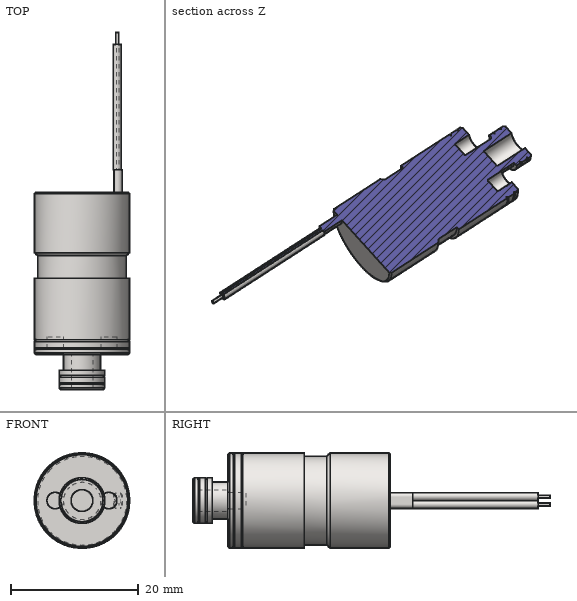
import cadquery as cq

overall_length = 56.2

body_diameter = 15.0
body_radius = body_diameter / 2
body_front = 5.5
body_rear = 31.05
body_chamfer = 0.3
waist_diameter = 14.0
waist_radius = waist_diameter / 2
waist_front = 17.55
waist_rear = 21.05
waist_chamfer = body_radius - waist_radius

neck_radius = 2.9
head_radius = 3.6
head_length = 3.1
head_chamfer = 0.3

ring_chamfer = 0.3
body_ring_front = 6.35
body_ring_rear = 7.85
head_ring_front = 0.85
head_ring_rear = 2.25

bore_diameter = 3.4
bore_depth = body_front
pin_hole_diameter = 2.6
pin_hole_depth = 2.8
pin_hole_offset = 4.2

wire_offset = 5.55
wire_spacing = 1.25
wire_diameter = 1.3
conductor_diameter = 0.5
stripped_length = 1.9
insulation_rear = overall_length - stripped_length
sleeve_offset = 5.7
sleeve_width = 1.35
sleeve_height = 2.55
sleeve_length = 3.5
sleeve_rear = body_rear + sleeve_length


def plane_at(y):
    """Sketch plane facing +Y at the given station, with local x along X and local y along -Z."""
    return cq.Workplane("XZ", origin=(0, y, 0)).transformed(rotate=(180, 0, 0))


def ring_profile(radius, front, rear):
    """Outline points, front to rear, of a flush ring whose chamfered edges leave a V at each side."""
    root = radius - ring_chamfer
    return [
        (radius, front),
        (root, front),
        (radius, front + ring_chamfer),
        (radius, rear - ring_chamfer),
        (root, rear),
        (radius, rear),
    ]


def make_turned_body():
    """Nose and body as one revolved half section of (radius, y) points."""
    head = [(0, 0), (head_radius - head_chamfer, 0), (head_radius, head_chamfer)]
    head += ring_profile(head_radius, head_ring_front, head_ring_rear)
    neck = [
        (head_radius, head_length),
        (neck_radius, head_length),
        (neck_radius, body_front),
    ]
    body = [(body_radius - body_chamfer, body_front), (body_radius, body_front + body_chamfer)]
    body += ring_profile(body_radius, body_ring_front, body_ring_rear)
    body += [
        (body_radius, waist_front),
        (waist_radius, waist_front),
        (waist_radius, waist_rear),
        (body_radius, waist_rear + waist_chamfer),
        (body_radius, body_rear - body_chamfer),
        (body_radius - body_chamfer, body_rear),
        (0, body_rear),
    ]
    section = cq.Workplane("XY").polyline(head + neck + body).close()
    return section.revolve(360, (0, 0, 0), (0, 1, 0))


def make_front_holes():
    """Blind bore in the nose and two blind pin holes beside the neck."""
    bore = plane_at(0).circle(bore_diameter / 2).extrude(bore_depth)
    pin_centers = [(-pin_hole_offset, 0), (pin_hole_offset, 0)]
    pin_holes = (
        plane_at(body_front)
        .pushPoints(pin_centers)
        .circle(pin_hole_diameter / 2)
        .extrude(pin_hole_depth)
    )
    return bore.union(pin_holes)


def make_leads():
    """Sleeve with rounded ends, two insulated wires and their bare conductors."""
    sleeve = (
        plane_at(body_rear)
        .center(sleeve_offset, 0)
        .slot2D(sleeve_height, sleeve_width, 90)
        .extrude(sleeve_length)
    )
    wire_centers = [(wire_offset, side * wire_spacing / 2) for side in (-1, 1)]
    wires = (
        plane_at(sleeve_rear)
        .pushPoints(wire_centers)
        .circle(wire_diameter / 2)
        .extrude(insulation_rear - sleeve_rear)
    )
    conductors = (
        plane_at(insulation_rear)
        .pushPoints(wire_centers)
        .circle(conductor_diameter / 2)
        .extrude(stripped_length)
    )
    return sleeve.union(wires).union(conductors)


result = make_turned_body().cut(make_front_holes()).union(make_leads())